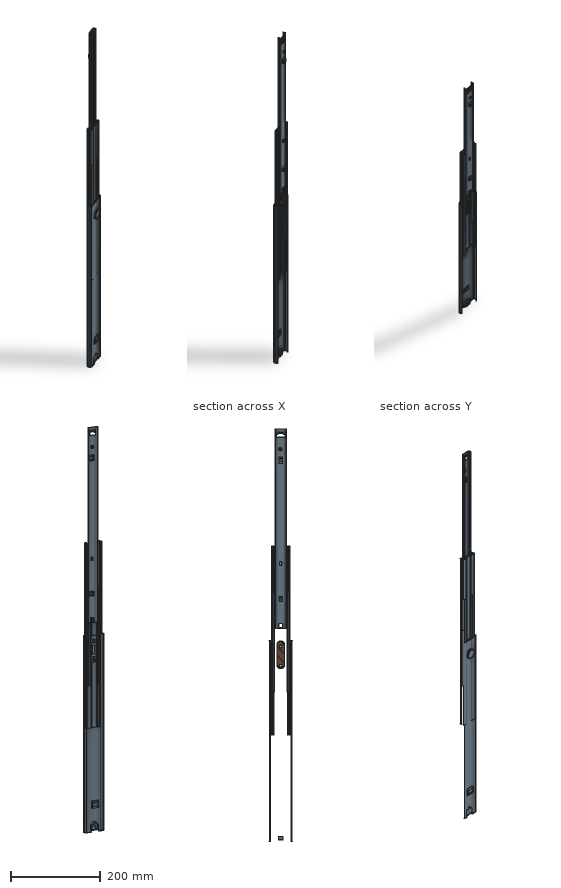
import cadquery as cq
import math


SHEET = 1.5
HALF_SHEET = SHEET / 2
REACH = 10.6

OUTER_LENGTH = 450.5
MIDDLE_BOTTOM = 239.0
MIDDLE_TOP = 662.0
INNER_BOTTOM = 477.0
INNER_TOP = 925.0

OUTER_BACK = 6.5
OUTER_HALF_WIDTH = 26.0
MIDDLE_BACK = 4.2
MIDDLE_HALF_WIDTH = 20.8
RAIL_FRONT = -6.7
INNER_HALF_WIDTH = 12.8

OUTER_WEB_X = OUTER_BACK - HALF_SHEET
OUTER_FLANGE_Y = OUTER_HALF_WIDTH - HALF_SHEET
OUTER_LIP_X = -3.9
MIDDLE_WEB_X = MIDDLE_BACK - HALF_SHEET
MIDDLE_FLANGE_Y = MIDDLE_HALF_WIDTH - HALF_SHEET
FRONT_X = RAIL_FRONT + HALF_SHEET
INNER_FLANGE_Y = INNER_HALF_WIDTH - HALF_SHEET

RIB_HEIGHT = 1.1
RIB_FOOT_Y = 8.8
RIB_CREST_Y = 6.0
RIB_X = MIDDLE_WEB_X - RIB_HEIGHT
RACEWAY_DEPTH = 1.0
INNER_BEND_RADIUS = 3.1

OUTER_HOOK_X = 9.0
OUTER_HOOK_HALF_WIDTH = 9.0
OUTER_HOOK_Z = (55.0, 71.0)
INNER_HOOK_HALF_WIDTH = 4.2
INNER_HOOKS_Z = ((538.0, 548.5), (848.0, 861.0))
STUD_Z = 415.0
STUD_DIAMETER = 22.0
STUD_CHAMFER = 1.0
DIMPLE_Y = -1.0
DIMPLE_Z = 880.0
DIMPLE_DIAMETER = 7.0
DIMPLE_DEPTH = 1.0
DIMPLE_TAPER = 60

SLOT_HALF_WIDTH = 2.0
SLOT_Z = (620.0, 627.0)
END_OPENING_HALF_WIDTH = 4.2
END_OPENING_Z = (480.0, 488.0)

RETAINER_BOTTOM = 336.0
RETAINER_LENGTH = 222.0
RETAINER_SHEET = 1.0
RETAINER_FRONT = -4.2
RETAINER_INNER_Y = 14.2
RETAINER_FOOT_Y = 9.0

LATCH_BOTTOM = 388.0
LATCH_TOP = 450.0
LATCH_HALF_WIDTH = 8.8
LATCH_THICKNESS = 2.0
LATCH_HOLE_DIAMETER = 6.0
LATCH_HOLES_Z = (394.0, 437.5)
PAD_BOTTOM = 400.0
PAD_TOP = 432.0
PAD_HALF_WIDTH = 6.9
PAD_THICKNESS = 1.0
LEVER_LENGTH = 20.0
LEVER_HEIGHT = 2.0
LEVER_STEEP_FOOT_Y = 5.0
LEVER_STEEP_CREST_Y = 4.0
LEVER_SLOPE_CREST_Y = 1.0
LEVER_SLOPE_FOOT_Y = -4.0

BUFFER_BOTTOM = 4.0
BUFFER_SHOULDER = 15.0
BUFFER_NECK = 17.0
BUFFER_TOP = 22.0
BUFFER_HALF_WIDTH = 9.7
BUFFER_NECK_HALF_WIDTH = 7.0
BUFFER_NOSE_HALF_WIDTH = 3.0
BUFFER_THICKNESS = 4.0
BUFFER_PAD_THICKNESS = 2.0
BUFFER_PAD_HALF_WIDTH = 6.0
BUFFER_PAD_TOP = 12.0

WINDOW_BOTTOM = 906.5
WINDOW_TOP = 918.5
WINDOW_HALF_WIDTH = 9.0
STOP_BOTTOM = 915.0
STOP_FOOT_BOTTOM = 912.0
STOP_FOOT_WIDTH = 3.2


def box(x_range, y_range, z_range):
    """Box between two values along each axis."""
    size = [high - low for low, high in (x_range, y_range, z_range)]
    return cq.Workplane("XY").box(*size, centered=False).translate((x_range[0], y_range[0], z_range[0]))


def web_cut(web_x, half_width, bottom, top):
    """Cutter for a rectangular opening through a web, centred on Y = 0."""
    return box((web_x - SHEET, web_x + SHEET), (-half_width, half_width), (bottom, top))


def line(start, end):
    """Straight stretch of a rail's centre line."""
    return cq.Edge.makeLine(cq.Vector(*start), cq.Vector(*end))


def bend(start, direction, end):
    """Round stretch of a rail's centre line that leaves its start in the given direction."""
    return cq.Edge.makeTangentArc(cq.Vector(*start), cq.Vector(*direction), cq.Vector(*end))


def chain(points):
    """Straight stretches through all the points."""
    return [line(start, end) for start, end in zip(points, points[1:])]


def rail(half_edges, bottom, top):
    """Sheet-metal channel.

    The edges are the centre line of the +Y half, starting at the web. They are mirrored,
    joined by the web, thickened and extruded.
    """
    mirrored = [edge.mirror("XZ") for edge in half_edges]
    web = cq.Edge.makeLine(half_edges[0].startPoint(), mirrored[0].startPoint())
    outline = cq.Wire.assembleEdges([*reversed(mirrored), web, *half_edges]).offset2D(HALF_SHEET)[0]
    body = cq.Solid.extrudeLinear(outline, [], cq.Vector(0, 0, top - bottom))
    return cq.Workplane(body.translate(cq.Vector(0, 0, bottom)))


def add_hook(body, web_x, reach_x, half_width, bottom, top):
    """Mounting hook: a strip of the web pressed out until its outside reaches reach_x."""
    slope = (top - bottom) / 4
    crest_x = reach_x - math.copysign(HALF_SHEET, reach_x)
    strip_path = [(web_x, bottom), (crest_x, bottom + slope), (crest_x, top - slope), (web_x, top)]
    strip = (
        cq.Workplane("XZ").polyline(strip_path).offset2D(HALF_SHEET)
        .extrude(half_width, both=True)
    )
    return body.cut(web_cut(web_x, half_width, bottom, top)).union(strip)


def make_outer_rail():
    web_edge_y = 22.4
    flange_back_x = 3.0
    flange_front_x = 0.5
    lip_y = 23.3
    edges = [
        line((OUTER_WEB_X, web_edge_y), (flange_back_x, OUTER_FLANGE_Y)),
        line((flange_back_x, OUTER_FLANGE_Y), (flange_front_x, OUTER_FLANGE_Y)),
        bend((flange_front_x, OUTER_FLANGE_Y), (-1, 0), (OUTER_LIP_X, lip_y)),
    ]
    body = rail(edges, 0, OUTER_LENGTH)
    body = add_hook(body, OUTER_WEB_X, OUTER_HOOK_X, OUTER_HOOK_HALF_WIDTH, *OUTER_HOOK_Z)
    body = body.cut(web_cut(OUTER_WEB_X, BUFFER_HALF_WIDTH, 0, BUFFER_BOTTOM))
    stud = (
        cq.Workplane("YZ", origin=(OUTER_BACK, 0, STUD_Z)).circle(STUD_DIAMETER / 2)
        .extrude(REACH - OUTER_BACK).faces(">X").chamfer(STUD_CHAMFER)
    )
    return body.union(stud)


def make_middle_rail():
    raceway_y = MIDDLE_FLANGE_Y - RACEWAY_DEPTH
    groove_back_x = -0.6
    floor_back_x = -1.5
    floor_front_x = -4.0
    groove_front_x = -4.8
    lip_corner_y = 19.0
    lip_end_y = 16.2
    edges = chain([
        (RIB_X, RIB_CREST_Y),
        (MIDDLE_WEB_X, RIB_FOOT_Y),
        (MIDDLE_WEB_X, MIDDLE_FLANGE_Y),
        (groove_back_x, MIDDLE_FLANGE_Y),
        (floor_back_x, raceway_y),
        (floor_front_x, raceway_y),
        (groove_front_x, MIDDLE_FLANGE_Y),
        (FRONT_X, lip_corner_y),
        (FRONT_X, lip_end_y),
    ])
    return rail(edges, MIDDLE_BOTTOM, MIDDLE_TOP)


def make_inner_rail():
    raceway_y = INNER_FLANGE_Y - RACEWAY_DEPTH
    floor_front_x = -1.4
    flange_end_x = 0.65
    bend_end = (FRONT_X + INNER_BEND_RADIUS, INNER_FLANGE_Y)
    edges = [
        bend((FRONT_X, INNER_FLANGE_Y - INNER_BEND_RADIUS), (0, 1), bend_end),
        *chain([bend_end, (floor_front_x, raceway_y), (flange_end_x, raceway_y)]),
    ]
    body = rail(edges, INNER_BOTTOM, INNER_TOP)
    for bottom, top in INNER_HOOKS_Z:
        body = add_hook(body, FRONT_X, -REACH, INNER_HOOK_HALF_WIDTH, bottom, top)
    openings = (
        (WINDOW_HALF_WIDTH, WINDOW_BOTTOM, WINDOW_TOP),
        (SLOT_HALF_WIDTH, *SLOT_Z),
        (END_OPENING_HALF_WIDTH, *END_OPENING_Z),
    )
    for half_width, bottom, top in openings:
        body = body.cut(web_cut(FRONT_X, half_width, bottom, top))
    dimple = (
        cq.Workplane("YZ", origin=(RAIL_FRONT, DIMPLE_Y, DIMPLE_Z)).circle(DIMPLE_DIAMETER / 2)
        .extrude(DIMPLE_DEPTH, taper=DIMPLE_TAPER)
    )
    return body.cut(dimple)


def make_retainer(side):
    """L-shaped strip beside one flange of the inner rail (side = -1 or +1), resting on the middle web."""
    z_range = (RETAINER_BOTTOM, RETAINER_BOTTOM + RETAINER_LENGTH)
    web_face = MIDDLE_BACK - SHEET
    outer_y = RETAINER_INNER_Y + RETAINER_SHEET
    leg = box((RETAINER_FRONT, web_face), (RETAINER_INNER_Y, outer_y), z_range)
    foot = box((web_face - RETAINER_SHEET, web_face), (RETAINER_FOOT_Y, outer_y), z_range)
    strip = leg.union(foot)
    return strip if side > 0 else strip.mirror("XZ")


def make_latch():
    """Round-ended plate on the rib of the middle rail, with two holes, a pad and a lever."""
    face_x = RIB_X - HALF_SHEET
    plate_front = face_x - LATCH_THICKNESS
    pad_front = plate_front - PAD_THICKNESS
    center_z = (LATCH_BOTTOM + LATCH_TOP) / 2
    body = (
        cq.Workplane("YZ", origin=(face_x, 0, center_z))
        .slot2D(LATCH_TOP - LATCH_BOTTOM, 2 * LATCH_HALF_WIDTH, 90).extrude(-LATCH_THICKNESS)
    )
    for hole_z in LATCH_HOLES_Z:
        hole = cq.Workplane("YZ", origin=(face_x, 0, hole_z)).circle(LATCH_HOLE_DIAMETER / 2)
        body = body.cut(hole.extrude(-LATCH_THICKNESS))
    pad = box((pad_front, plate_front), (-PAD_HALF_WIDTH, PAD_HALF_WIDTH), (PAD_BOTTOM, PAD_TOP))
    lever_front = pad_front - LEVER_HEIGHT
    lever_section = [
        (pad_front, LEVER_STEEP_FOOT_Y),
        (lever_front, LEVER_STEEP_CREST_Y),
        (lever_front, LEVER_SLOPE_CREST_Y),
        (pad_front, LEVER_SLOPE_FOOT_Y),
    ]
    lever = (
        cq.Workplane("XY").polyline(lever_section).close().extrude(LEVER_LENGTH)
        .translate((0, 0, (PAD_BOTTOM + PAD_TOP - LEVER_LENGTH) / 2))
    )
    return body.union(pad).union(lever)


def make_buffer():
    """Stepped stop block on the outer web, with a pad on its lower half."""
    web_face = OUTER_BACK - SHEET
    half_outline = [
        (BUFFER_HALF_WIDTH, BUFFER_BOTTOM),
        (BUFFER_HALF_WIDTH, BUFFER_SHOULDER),
        (BUFFER_NECK_HALF_WIDTH, BUFFER_NECK),
        (BUFFER_NOSE_HALF_WIDTH, BUFFER_NECK),
        (BUFFER_NOSE_HALF_WIDTH, BUFFER_TOP),
    ]
    mirrored = [(-y, z) for y, z in reversed(half_outline)]
    block = (
        cq.Workplane("YZ", origin=(web_face, 0, 0))
        .polyline(half_outline + mirrored).close().extrude(-BUFFER_THICKNESS)
    )
    block_front = web_face - BUFFER_THICKNESS
    pad = box(
        (block_front - BUFFER_PAD_THICKNESS, block_front),
        (-BUFFER_PAD_HALF_WIDTH, BUFFER_PAD_HALF_WIDTH),
        (BUFFER_BOTTOM, BUFFER_PAD_TOP),
    )
    return block.union(pad)


def make_end_stop():
    """Bar with two corner feet that fills the upper part of the inner rail's window."""
    x_range = (RAIL_FRONT, RAIL_FRONT + SHEET)
    foot_inner_y = WINDOW_HALF_WIDTH - STOP_FOOT_WIDTH
    stop = box(x_range, (-WINDOW_HALF_WIDTH, WINDOW_HALF_WIDTH), (STOP_BOTTOM, WINDOW_TOP))
    for y_range in ((-WINDOW_HALF_WIDTH, -foot_inner_y), (foot_inner_y, WINDOW_HALF_WIDTH)):
        stop = stop.union(box(x_range, y_range, (STOP_FOOT_BOTTOM, STOP_BOTTOM)))
    return stop


outer_rail = make_outer_rail()
middle_rail = make_middle_rail()
inner_rail = make_inner_rail()
retainers = [make_retainer(side) for side in (-1, 1)]
latch = make_latch()
buffer_block = make_buffer()
end_stop = make_end_stop()

result = cq.Compound.makeCompound([
    outer_rail.val(),
    middle_rail.val(),
    inner_rail.val(),
    *[retainer.val() for retainer in retainers],
    latch.val(),
    buffer_block.val(),
    end_stop.val(),
])